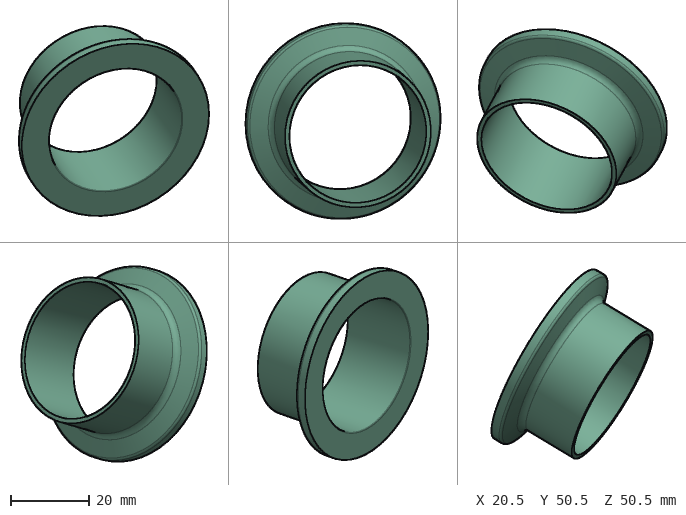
import cadquery as cq
import math

length = 20.5
flange_diameter = 50.5
tube_diameter = 38.1
bore_diameter = 35.7
rim_width = 2.85
cone_angle = 20
neck_fillet = 1.9
rim_fillet = 0.75
bore_fillet = 0.2

flange_radius = flange_diameter / 2
tube_radius = tube_diameter / 2
bore_radius = bore_diameter / 2

rim_start = length - rim_width
cone_length = (flange_radius - tube_radius) * math.tan(math.radians(cone_angle))
cone_start = rim_start - cone_length


def circle_edge(x, radius):
    """Return a selector for the circular edge at position x with the given radius."""
    margin = 0.05
    reach = radius + margin
    return cq.selectors.BoxSelector(
        (x - margin, -reach, -reach), (x + margin, reach, reach), boundingbox=True
    )


body = (
    cq.Workplane("XY")
    .moveTo(0, bore_radius)
    .lineTo(0, tube_radius)
    .lineTo(cone_start, tube_radius)
    .lineTo(rim_start, flange_radius)
    .lineTo(length, flange_radius)
    .lineTo(length, bore_radius)
    .close()
    .revolve(360, (0, 0, 0), (1, 0, 0))
)

body = body.edges(circle_edge(cone_start, tube_radius)).fillet(neck_fillet)
body = body.edges(circle_edge(rim_start, flange_radius)).fillet(rim_fillet)
bore_mouth = cq.selectors.RadiusNthSelector(0)
result = body.faces(">X").edges(bore_mouth).fillet(bore_fillet)